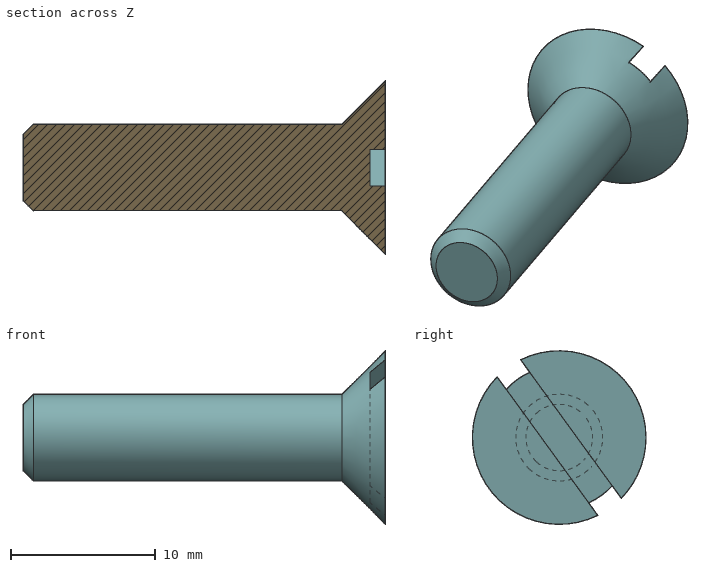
import cadquery as cq

length = 25.0
shank_radius = 3.0
head_radius = 6.0
head_height = head_radius - shank_radius
tip_chamfer = 0.7
slot_width = 2.0
slot_depth = 1.05
slot_angle = 36.0


def screw_body():
    """Revolve the half profile of tip, shank and head about the X axis."""
    return (
        cq.Workplane("XY")
        .moveTo(0, 0)
        .lineTo(0, shank_radius - tip_chamfer)
        .lineTo(tip_chamfer, shank_radius)
        .lineTo(length - head_height, shank_radius)
        .lineTo(length, head_radius)
        .lineTo(length, 0)
        .close()
        .revolve(360, (0, 0, 0), (1, 0, 0))
    )


def driver_slot():
    """Box that cuts straight across the head face."""
    return (
        cq.Workplane("XY")
        .box(slot_depth, slot_width, 2 * head_radius)
        .translate((length - slot_depth / 2, 0, 0))
        .rotate((0, 0, 0), (1, 0, 0), slot_angle)
    )


result = screw_body().cut(driver_slot())